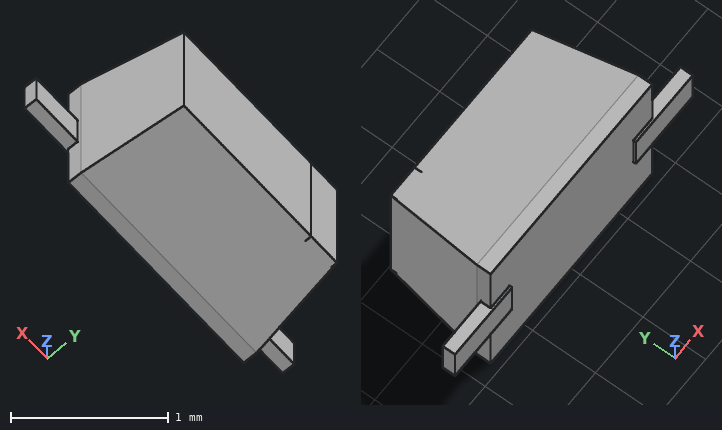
import cadquery as cq
import math

overall_length = 2.5
overall_depth = 0.9

housing_length = 1.7
housing_height = 1.25
draft_angle = 8.0
lead_standoff = 0.02
base_band_depth = 0.11

lead_length = 0.6
lead_width = 0.3
lead_thickness = 0.1

bar_depth = 0.1
bar_width = 0.25

face_y = overall_depth / 2
mounting_y = -overall_depth / 2
base_y = mounting_y + lead_standoff
band_top_y = base_y + base_band_depth
taper_depth = face_y - band_top_y
taper_inset = taper_depth * math.tan(math.radians(draft_angle))
face_length = housing_length - 2 * taper_inset
face_height = housing_height - 2 * taper_inset


def box_from_y(length, depth, height, center_x, start_y):
    """Box centred on center_x and Z = 0, running from start_y toward +Y."""
    center_y = start_y + depth / 2
    return cq.Workplane("XY").box(length, depth, height).translate((center_x, center_y, 0))


def make_lead(side):
    """Flat lead on the -X side (side = -1) or the +X side (side = 1)."""
    center_x = side * (overall_length - lead_length) / 2
    return box_from_y(lead_length, lead_thickness, lead_width, center_x, mounting_y)


def make_polarity_bar():
    """Straight-sided bar along the -X edge of the +Y face."""
    center_x = (bar_width - face_length) / 2
    return box_from_y(bar_width, bar_depth, face_height, center_x, face_y - bar_depth)


def make_housing(inserts):
    """Straight base band and drafted block, with a matching recess for each insert."""
    band = box_from_y(housing_length, base_band_depth, housing_height, 0, base_y)
    drafted_block = (
        cq.Workplane("XZ", origin=(0, band_top_y, 0))
        .rect(housing_length, housing_height)
        .workplane(offset=-taper_depth)
        .rect(face_length, face_height)
        .loft(ruled=True)
    )
    housing = band.union(drafted_block)
    for insert in inserts:
        housing = housing.cut(insert)
    return housing.solids()


leads = [make_lead(side) for side in (-1, 1)]
polarity_bar = make_polarity_bar()
housing = make_housing([*leads, polarity_bar])

result = cq.Compound.makeCompound(
    [housing.val(), *[lead.val() for lead in leads], polarity_bar.val()]
)